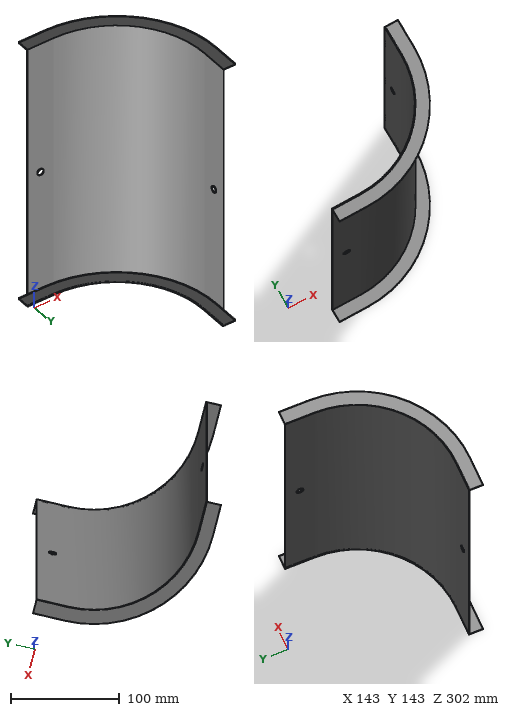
import cadquery as cq
import math

height = 302.0
side = 143.0
sheet = 1.0

leg = 30.2
bend_y = side - leg
flange_width = 14.2

hole_diameter = 7.0
hole_edge_distance = 15.0


def curved_strip(width, outer_offset, thickness):
    """Extrude an L-shaped strip whose convex face lies outer_offset inside the overall outline."""
    outer = side - outer_offset
    inner = outer - width

    def bend_middle(radius):
        reach = radius * math.sqrt(0.5)
        return (leg + reach, bend_y - reach)

    return (
        cq.Workplane("XY")
        .moveTo(0, side - outer)
        .lineTo(leg, side - outer)
        .threePointArc(bend_middle(outer - leg), (outer, bend_y))
        .lineTo(outer, side)
        .lineTo(inner, side)
        .lineTo(inner, bend_y)
        .threePointArc(bend_middle(inner - leg), (leg, side - inner))
        .lineTo(0, side - inner)
        .close()
        .extrude(thickness)
    )


def leg_hole(plane, origin):
    """Cutter running inwards from the overall outline through one leg."""
    return (
        cq.Workplane(plane, origin=origin)
        .circle(hole_diameter / 2)
        .extrude(-2 * flange_width)
    )


wall = curved_strip(sheet, flange_width - sheet, height)
flange = curved_strip(flange_width, 0, sheet)
top_flange = flange.translate((0, 0, height - sheet))
body = wall.union(flange).union(top_flange)

front_hole = leg_hole("XZ", (hole_edge_distance, 0, height / 2))
side_hole = leg_hole("YZ", (side, side - hole_edge_distance, height / 2))
result = body.cut(front_hole).cut(side_hole)